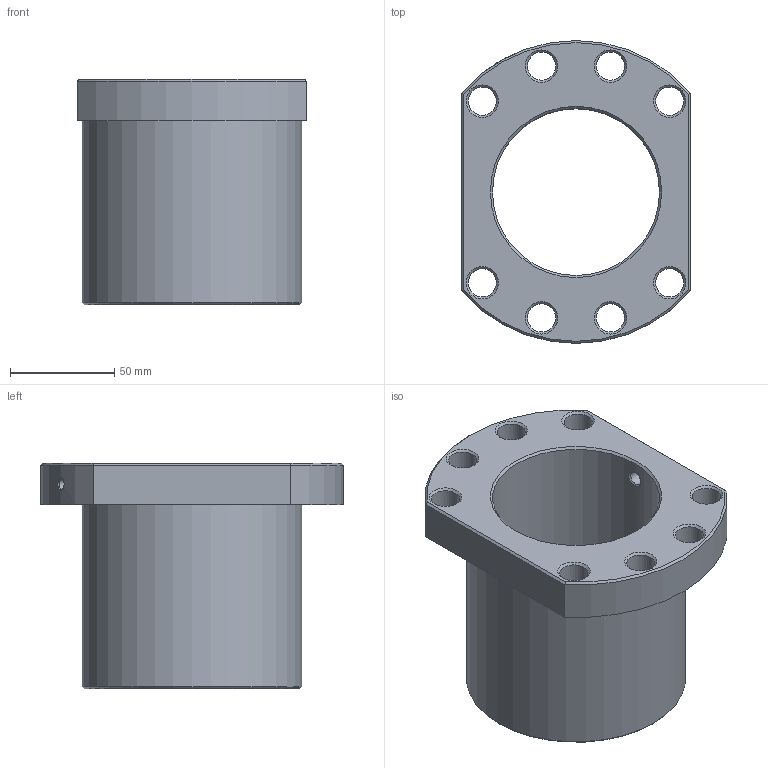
import cadquery as cq
import math

total_height = 108.0
flange_thickness = 20.0
flange_diameter = 145.0
flange_width = 110.0
body_diameter = 105.0
bore_diameter = 80.0
edge_chamfer = 1.0

mount_hole_diameter = 13.5
mount_circle_radius = 62.5
mount_hole_spacing = 30.6
mount_hole_angles = (mount_hole_spacing / 2, mount_hole_spacing * 3 / 2)

oil_hole_height = total_height - flange_thickness / 2
oil_hole_chamfer = 0.5
port_diameter = 6.8
port_angle = 0.0
rim_hole_diameter = 5.0
rim_hole_angle = 120.0
rim_hole_depth = 10.0


def make_flange():
    """Round flange trimmed by two flats, with a chamfered top edge."""
    disc = cq.Workplane("XY").circle(flange_diameter / 2).extrude(flange_thickness)
    slab = cq.Workplane("XY").rect(flange_width, flange_diameter).extrude(flange_thickness)
    flange = disc.intersect(slab).faces(">Z").edges().chamfer(edge_chamfer)
    return flange.translate((0, 0, total_height - flange_thickness))


def make_body():
    """Cylindrical body with a chamfered bottom edge, reaching the flange top."""
    body = cq.Workplane("XY").circle(body_diameter / 2).extrude(total_height)
    return body.faces("<Z").edges().chamfer(edge_chamfer)


def chamfered_hole(diameter):
    """Cutter for a vertical through hole on the Z axis, chamfered at the top."""
    radius = diameter / 2
    return (
        cq.Workplane("XZ")
        .moveTo(0, 0)
        .lineTo(radius, 0)
        .lineTo(radius, total_height - edge_chamfer)
        .lineTo(radius + edge_chamfer, total_height)
        .lineTo(0, total_height)
        .close()
        .revolve(360, (0, 0, 0), (0, 1, 0))
    )


def mount_hole_centers():
    """Centers of the mounting holes, mirrored about both axes."""
    centers = []
    for angle in mount_hole_angles:
        x = mount_circle_radius * math.sin(math.radians(angle))
        y = mount_circle_radius * math.cos(math.radians(angle))
        centers += [(x, y), (-x, y), (-x, -y), (x, -y)]
    return centers


def radial_hole(diameter, length, angle, mouth_radius, drill_sign):
    """Cutter for a radial hole whose chamfered mouth opens on a round wall.

    The hole starts on the wall of mouth_radius and runs outward from the axis
    (drill_sign 1) or inward (drill_sign -1). The chamfer cone is extended past the
    mouth so that it clears the curved wall all around.
    """
    radius = diameter / 2
    cone_radius = radius + 2 * oil_hole_chamfer
    cone_start = mouth_radius - drill_sign * oil_hole_chamfer
    cone_end = mouth_radius + drill_sign * oil_hole_chamfer
    hole_end = mouth_radius + drill_sign * length
    profile = (
        cq.Workplane("XY")
        .moveTo(cone_start, 0)
        .lineTo(cone_start, cone_radius)
        .lineTo(cone_end, radius)
        .lineTo(hole_end, radius)
        .lineTo(hole_end, 0)
        .close()
    )
    hole = profile.revolve(360, (0, 0, 0), (1, 0, 0))
    return hole.rotate((0, 0, 0), (0, 0, 1), angle).translate((0, 0, oil_hole_height))


result = make_body().union(make_flange())
result = result.cut(chamfered_hole(bore_diameter))

mount_hole = chamfered_hole(mount_hole_diameter)
for x, y in mount_hole_centers():
    result = result.cut(mount_hole.translate((x, y, 0)))

bore_radius = bore_diameter / 2
port_length = flange_width / 2 - bore_radius
result = result.cut(radial_hole(port_diameter, port_length, port_angle, bore_radius, 1))
result = result.cut(
    radial_hole(rim_hole_diameter, rim_hole_depth, rim_hole_angle, flange_diameter / 2, -1)
)